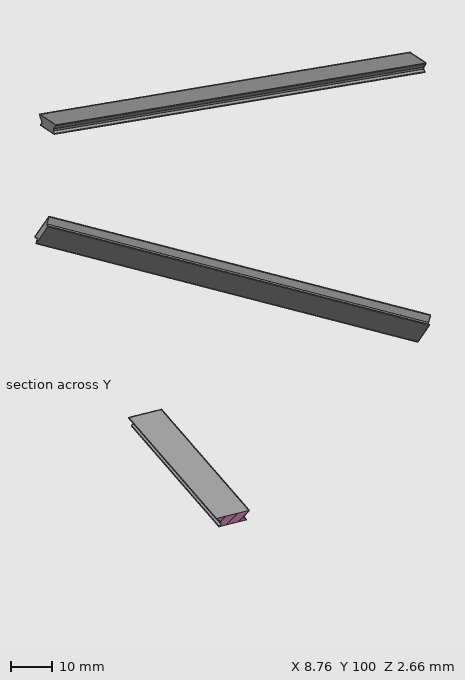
import cadquery as cq

length = 100.0
height = 2.66
top_width = 8.76

lip_height = 0.2
upper_flank_depth = 1.25
lower_flank_depth = 0.5

top_half_width = top_width / 2
neck_half_width = top_half_width - upper_flank_depth
foot_half_width = neck_half_width + lower_flank_depth

top_z = height / 2
bottom_z = -height / 2
upper_lip_z = top_z - lip_height
neck_top_z = upper_lip_z - upper_flank_depth
lower_lip_z = bottom_z + lip_height
neck_bottom_z = lower_lip_z + lower_flank_depth


def make_strip():
    """Strip with a waisted cross-section: one half, mirrored about the YZ plane and extruded along Y."""
    half_section = (
        cq.Workplane("XZ", origin=(0, length / 2, 0))
        .moveTo(0, top_z)
        .lineTo(top_half_width, top_z)
        .lineTo(top_half_width, upper_lip_z)
        .lineTo(neck_half_width, neck_top_z)
        .lineTo(neck_half_width, neck_bottom_z)
        .lineTo(foot_half_width, lower_lip_z)
        .lineTo(foot_half_width, bottom_z)
        .lineTo(0, bottom_z)
    )
    return half_section.mirrorY().extrude(length)


result = make_strip()